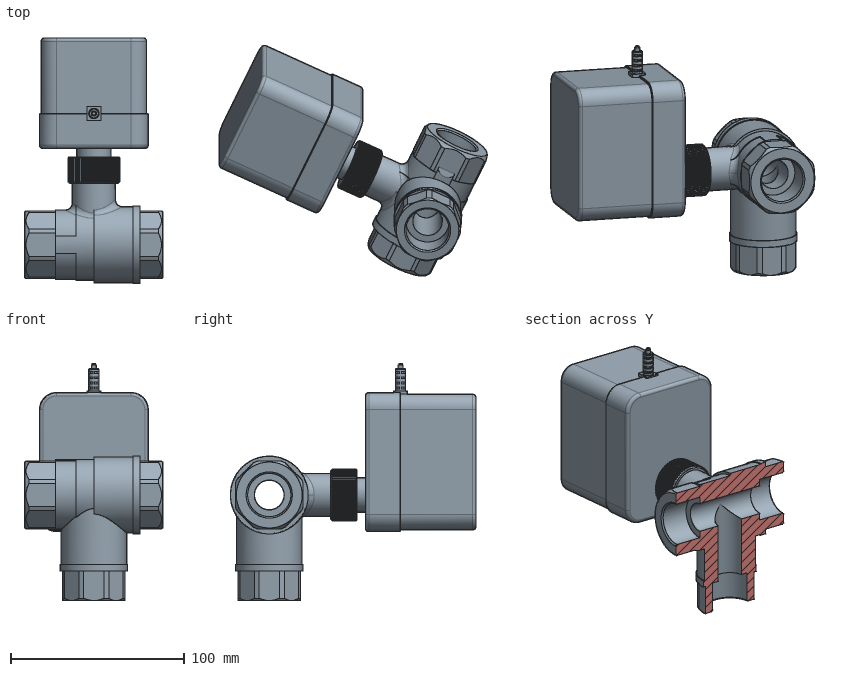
import cadquery as cq
import math


overall_length = 142.0

run_left_x = -40.0
run_right_x = 39.9
thin_radius = 20.6
ring_radius = 20.2
ring_end_x = -10.2
thick_radius = 22.0
run_flange_radius = 45.0 / 2
run_flange_start_x = 22.6
run_flange_end_x = 26.7
left_end_length = 17.8
run_across_flats = 39.2
run_corner_radius = 20.7
run_tip_radius = 19.0
run_tip_length = 2.5
key_width = 10.0
key_ramp_length = 3.7

octagon_sides = 8

branch_radius = 19.0
branch_collar_radius = 39.0 / 2
branch_collar_top_z = -40.0
branch_collar_bottom_z = -44.0
branch_end_z = -61.0
branch_across_flats = 36.2
branch_tip_radius = 18.0
branch_tip_length = 1.4

bore_radius = 8.5
port_radius = 12.5
port_depth = 17.8
port_chamfer = 0.9

neck_radius = 12.5
neck_fillet = 4.0
neck_end_y = 35.4

nut_radius = 30.0 / 2
nut_root_radius = 14.5
nut_end_y = 50.5
nut_front_chamfer = 1.1
nut_back_chamfer = 0.4
tooth_count = 60
crest_start = 0.25
crest_end = 0.5
flank_end = 0.75
stem_radius = 20.0 / 2

box_front_y = 55.5
box_split_y = 75.8
box_back_y = overall_length - run_flange_radius
box_width = 62.9
box_bottom_z = -21.2
box_top_z = 59.2
box_corner_radius = 10.0
box_step = 1.0
box_edge_fillet = 2.0
box_split_chamfer = 0.4

gland_base_side = 8.0
gland_base_top_z = 60.0
gland_radius = 3.0
gland_top_z = 73.0
gland_chamfer = 0.4
gland_core_radius = 2.0
gland_rib_width = 1.0
slot_height = 1.1
slot_pitch = 3.0
slot_count = 4
lowest_slot_z = 61.2
sheath_radius = 3.0 / 2
sheath_top_z = 75.0
wire_radius = 1.0
wire_top_z = 75.8

ALONG_X = cq.Plane(origin=(0, 0, 0), xDir=(0, 1, 0), normal=(1, 0, 0))
ALONG_Y = cq.Plane(origin=(0, 0, 0), xDir=(1, 0, 0), normal=(0, 1, 0))
DOWN = cq.Plane(origin=(0, 0, 0), xDir=(1, 0, 0), normal=(0, 0, -1))
LEFTWARD = cq.Plane(origin=(0, 0, 0), xDir=(0, 1, 0), normal=(-1, 0, 0))


def cylinder(plane, radius, start, end):
    """Cylinder on the plane's normal, between two distances from the origin."""
    return cq.Workplane(plane).workplane(offset=start).circle(radius).extrude(end - start)


def octagonal_end(plane, across_flats, corner_radius, start, end, tip_radius, tip_length):
    """Octagonal pipe end with corners turned to a cylinder and a conical tip."""
    circumscribed_diameter = across_flats / math.cos(math.pi / octagon_sides)
    octagon = (
        cq.Workplane(plane).workplane(offset=start)
        .transformed(rotate=(0, 0, 180 / octagon_sides))
        .polygon(octagon_sides, circumscribed_diameter)
        .extrude(end - start)
    )
    straight = cylinder(plane, corner_radius, start, end - tip_length)
    tip = (
        cq.Workplane(plane).workplane(offset=end - tip_length).circle(corner_radius)
        .workplane(offset=tip_length).circle(tip_radius)
        .loft(ruled=True)
    )
    return octagon.intersect(straight.union(tip))


def necked_sleeve(radius, start_x, end_x):
    """Length of run sleeve with the filleted neck that grows out of it."""
    sleeve = cylinder(ALONG_X, radius, run_left_x, run_right_x)
    sleeve = sleeve.union(cylinder(ALONG_Y, neck_radius, 0, neck_end_y))
    seam_zone = cq.selectors.BoxSelector(
        (-neck_radius, 0, -neck_radius), (neck_radius, radius, neck_radius),
    )
    sleeve = sleeve.edges(seam_zone).edges("not |X").fillet(neck_fillet)
    reach = 2 * neck_end_y
    keep = cq.Workplane().box(end_x - start_x, reach, reach).translate(((start_x + end_x) / 2, 0, 0))
    return sleeve.intersect(keep)


def keys(start_x):
    """Keys at the top and the bottom of the ring, flush with the thin sleeve."""
    length = ring_end_x - start_x
    bar = cq.Workplane().box(length, key_width, 2 * thick_radius)
    bar = bar.translate(((start_x + ring_end_x) / 2, 0, 0))
    return bar.intersect(cylinder(ALONG_X, thin_radius, start_x, ring_end_x))


def key_ramp(start_x):
    """Sloping end of the bottom key, under the -X octagon."""
    ramp = (
        cq.Workplane("XZ")
        .polyline([
            (start_x - key_ramp_length, -run_across_flats / 2),
            (start_x, -thin_radius),
            (start_x, -run_across_flats / 2),
        ])
        .close()
        .extrude(key_width / 2, both=True)
    )
    return ramp.intersect(cylinder(LEFTWARD, thin_radius, 0, -run_left_x))


def port(plane, end):
    """Threaded-port bore with a chamfered mouth."""
    bore = cylinder(plane, port_radius, end - port_depth, end)
    mouth = (
        cq.Workplane(plane).workplane(offset=end - port_chamfer).circle(port_radius)
        .workplane(offset=port_chamfer).circle(port_radius + port_chamfer)
        .loft(ruled=True)
    )
    return bore.union(mouth)


def make_valve():
    left_end_x = run_left_x + left_end_length
    body = necked_sleeve(ring_radius, left_end_x, ring_end_x)
    body = body.union(necked_sleeve(thin_radius, ring_end_x, 0))
    body = body.union(keys(left_end_x))
    body = body.union(necked_sleeve(thick_radius, 0, run_flange_start_x))
    body = body.union(cylinder(ALONG_X, run_flange_radius, run_flange_start_x, run_flange_end_x))
    body = body.union(octagonal_end(
        LEFTWARD, run_across_flats, run_corner_radius,
        -left_end_x, -run_left_x, run_tip_radius, run_tip_length,
    ))
    body = body.union(octagonal_end(
        ALONG_X, run_across_flats, run_corner_radius,
        run_flange_end_x, run_right_x, run_tip_radius, run_tip_length,
    ))
    body = body.union(key_ramp(left_end_x))

    body = body.union(cylinder(DOWN, branch_radius, 0, -branch_collar_top_z))
    body = body.union(
        cylinder(DOWN, branch_collar_radius, -branch_collar_top_z, -branch_collar_bottom_z)
    )
    body = body.union(octagonal_end(
        DOWN, branch_across_flats, branch_radius,
        -branch_collar_bottom_z, -branch_end_z, branch_tip_radius, branch_tip_length,
    ))

    body = body.cut(cylinder(ALONG_X, bore_radius, run_left_x, run_right_x))
    body = body.cut(cylinder(DOWN, bore_radius, 0, -branch_end_z))
    body = body.cut(port(LEFTWARD, -run_left_x))
    body = body.cut(port(ALONG_X, run_right_x))
    return body.cut(port(DOWN, -branch_end_z))


def make_nut():
    """Straight-knurled nut with chamfered ends."""
    tooth_angle = 2 * math.pi / tooth_count
    outline = []
    for tooth in range(tooth_count):
        corners = [
            (nut_root_radius, 0),
            (nut_radius, crest_start),
            (nut_radius, crest_end),
            (nut_root_radius, flank_end),
        ]
        for radius, fraction in corners:
            angle = (tooth + fraction) * tooth_angle
            outline.append((radius * math.cos(angle), radius * math.sin(angle)))
    knurl = (
        cq.Workplane(ALONG_Y).workplane(offset=neck_end_y)
        .polyline(outline).close()
        .extrude(nut_end_y - neck_end_y)
    )
    blank = cylinder(ALONG_Y, nut_radius, neck_end_y, nut_end_y)
    blank = blank.faces("<Y").chamfer(nut_front_chamfer)
    blank = blank.faces(">Y").chamfer(nut_back_chamfer)
    return knurl.intersect(blank)


def box_half(inset, start_y, end_y):
    """Half of the box: a rounded rectangle drawn in by the inset on every side."""
    height = box_top_z - box_bottom_z
    return (
        cq.Workplane().box(box_width - 2 * inset, end_y - start_y, height - 2 * inset)
        .translate((0, (start_y + end_y) / 2, (box_top_z + box_bottom_z) / 2))
        .edges("|Y").fillet(box_corner_radius - inset)
    )


def make_gland():
    """Slotted cable gland on a square base, with the cable end standing out of it."""
    base_bottom_z = box_top_z - 2 * box_step
    base = (
        cq.Workplane().workplane(offset=base_bottom_z)
        .rect(gland_base_side, gland_base_side)
        .extrude(gland_base_top_z - base_bottom_z)
    )
    sleeve = cylinder("XY", gland_radius, gland_base_top_z, gland_top_z)
    sleeve = sleeve.faces(">Z").chamfer(gland_chamfer)
    slot = (
        cq.Workplane()
        .circle(2 * gland_radius).circle(gland_core_radius)
        .extrude(slot_height)
        .cut(cq.Workplane().box(4 * gland_radius, gland_rib_width, 2 * slot_height))
        .cut(cq.Workplane().box(gland_rib_width, 4 * gland_radius, 2 * slot_height))
    )
    for row in range(slot_count):
        sleeve = sleeve.cut(slot.translate((0, 0, lowest_slot_z + row * slot_pitch)))
    sheath = cylinder("XY", sheath_radius, gland_top_z, sheath_top_z)
    wire = cylinder("XY", wire_radius, sheath_top_z, wire_top_z)
    gland = base.union(sleeve).union(sheath).union(wire)
    return gland.translate((0, box_split_y, 0))


def make_actuator():
    front = box_half(0, box_front_y, box_split_y)
    front = front.faces("<Y").edges().fillet(box_edge_fillet)
    front = front.faces(">Y").edges().chamfer(box_split_chamfer)
    rear = box_half(box_step, box_split_y, box_back_y)
    rear = rear.faces(">Y").edges().fillet(box_edge_fillet)
    stem = cylinder(ALONG_Y, stem_radius, nut_end_y, box_front_y)
    return front.union(rear).union(make_gland()).union(stem).union(make_nut())


valve = make_valve()
actuator = make_actuator()

result = cq.Compound.makeCompound([valve.val(), actuator.val()])